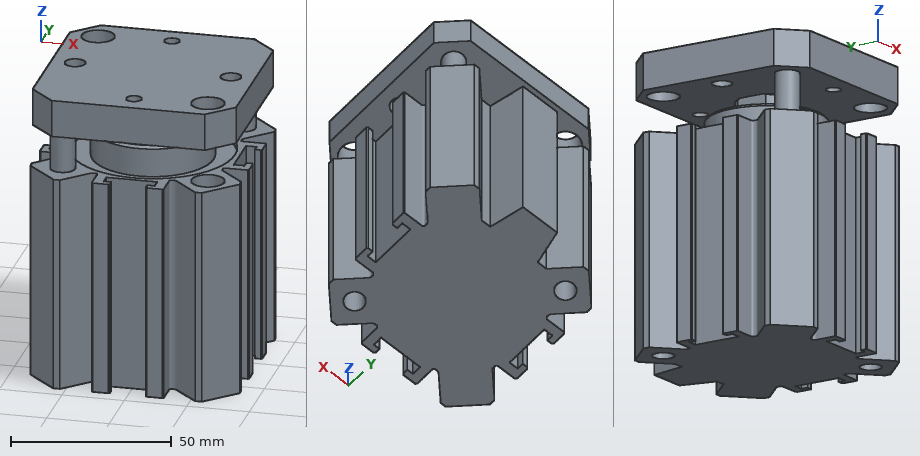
import cadquery as cq
import math

total_height = 96.0
housing_width = 67.0
housing_height = 70.0
half_width = housing_width / 2

housing_chamfer = 9.7
bar_width = 16.8
bar_offset = bar_width / math.sqrt(2)
groove_wall_x = 11.5
groove_floor_y = 25.3
groove_bar_radius = 1.3
groove_wall_radius = 0.8
slot_opening = 11.5
slot_inner_width = 16.2
slot_floor_y = 27.8
lip_thickness = 2.3
lip_chamfer = 0.4
overcut = 1.0

rail_top_y = 37.5
rail_top_width = 14.2
rail_base_width = 19.8

recess_diameter = 52.5
recess_depth = 2.0
collar_diameter = 39.0
collar_height = 8.1
collar_chamfer = 0.9
collar_top = housing_height + collar_height

corner_position = 23.2
bolt_hole_diameter = 7.0
bolt_head_diameter = 10.5
bolt_head_depth = 6.5
pin_diameter = 8.0
bolt_points = [(-corner_position, corner_position), (corner_position, -corner_position)]
pin_points = [(-corner_position, -corner_position), (corner_position, corner_position)]

plate_width = 65.2
plate_thickness = 12.0
plate_chamfer = 8.1
plate_bottom = total_height - plate_thickness
plate_hole_position = 25.0
large_hole_diameter = 6.5
small_hole_diameter = 4.9
rod_diameter = 20.0
rod_chamfer = 0.4
flat_width = 17.0
flat_height = 4.5


def chamfered_square(width, chamfer, bottom, height):
    """Square block with its four vertical edges chamfered."""
    block = cq.Workplane("XY", origin=(0, 0, bottom)).rect(width, width).extrude(height)
    return block.edges("|Z").chamfer(chamfer)


def cylinders(points, diameter, bottom, top):
    """Vertical cylinders of one diameter at the given points."""
    plane = cq.Workplane("XY", origin=(0, 0, bottom))
    return plane.pushPoints(points).circle(diameter / 2).extrude(top - bottom)


def side_groove():
    """Groove between a corner bar and a T-slot wall on the -Y side, with a rounded bottom."""
    mouth_y = -half_width - overcut
    groove = (
        cq.Workplane("XY")
        .moveTo(-groove_wall_x, mouth_y)
        .lineTo(mouth_y + bar_offset, mouth_y)
        .lineTo(bar_offset - groove_floor_y, -groove_floor_y)
        .lineTo(-groove_wall_x, -groove_floor_y)
        .close()
        .extrude(housing_height)
    )
    groove = groove.faces(">Y").edges("|Z").edges("<X").fillet(groove_bar_radius)
    return groove.faces(">Y").edges("|Z").edges(">X").fillet(groove_wall_radius)


def t_slot():
    """T-slot on the -Y side."""
    inner_depth = half_width - lip_thickness - slot_floor_y
    opening_depth = half_width + overcut - slot_floor_y
    inner = cq.Workplane("XY").center(0, -slot_floor_y - inner_depth / 2)
    opening = cq.Workplane("XY").center(0, -slot_floor_y - opening_depth / 2)
    return (
        inner.rect(slot_inner_width, inner_depth).extrude(housing_height)
        .union(opening.rect(slot_opening, opening_depth).extrude(housing_height))
    )


def lip_edge_cut(lip_edge_x):
    """Prism that chamfers one outer edge of a T-slot lip on the -Y side."""
    corners = [
        (lip_edge_x - lip_chamfer, -half_width),
        (lip_edge_x, -half_width + lip_chamfer),
        (lip_edge_x + lip_chamfer, -half_width),
    ]
    return cq.Workplane("XY").polyline(corners).close().extrude(housing_height)


def side_cutters():
    """Everything removed from the -Y side: T-slot, two grooves and lip chamfers."""
    half_cut = side_groove()
    for lip_edge_x in (-groove_wall_x, -slot_opening / 2):
        half_cut = half_cut.union(lip_edge_cut(lip_edge_x))
    return t_slot().union(half_cut).union(half_cut.mirror("YZ"))


def rail_clearance():
    """Space between the two corner bars on the +Y side."""
    mouth_y = half_width + overcut
    mouth_x = mouth_y - bar_offset
    floor_x = groove_floor_y - bar_offset
    corners = [(-mouth_x, mouth_y), (mouth_x, mouth_y), (floor_x, groove_floor_y), (-floor_x, groove_floor_y)]
    return cq.Workplane("XY").polyline(corners).close().extrude(housing_height)


def rail():
    """Tapered rail running the full height of the +Y side."""
    top_x = rail_top_width / 2
    base_x = rail_base_width / 2
    corners = [(-base_x, groove_floor_y), (base_x, groove_floor_y), (top_x, rail_top_y), (-top_x, rail_top_y)]
    return cq.Workplane("XY").polyline(corners).close().extrude(housing_height)


def make_housing():
    body = chamfered_square(housing_width, housing_chamfer, 0, housing_height)

    side_cut = side_cutters()
    for angle in (0, 90, -90):
        body = body.cut(side_cut.rotate((0, 0, 0), (0, 0, 1), angle))

    body = body.cut(rail_clearance()).union(rail())

    recess_floor = housing_height - recess_depth
    body = body.cut(cylinders([(0, 0)], recess_diameter, recess_floor, housing_height))
    collar = cylinders([(0, 0)], collar_diameter, recess_floor, collar_top)
    body = body.union(collar.faces(">Z").edges().chamfer(collar_chamfer))

    body = body.cut(cylinders(bolt_points, bolt_hole_diameter, 0, housing_height))
    head_floor = housing_height - bolt_head_depth
    return body.cut(cylinders(bolt_points, bolt_head_diameter, head_floor, housing_height))


def make_rod():
    """Piston rod with a chamfered end and two wrench flats facing -X and +X."""
    rod = cylinders([(0, 0)], rod_diameter, collar_top, plate_bottom)
    rod = rod.faces(">Z").edges().chamfer(rod_chamfer)
    flats_bottom = plate_bottom - flat_height
    flats = (
        cq.Workplane("XY", origin=(0, 0, flats_bottom))
        .rect(2 * rod_diameter, 2 * rod_diameter)
        .rect(flat_width, 2 * rod_diameter)
        .extrude(flat_height)
    )
    return rod.cut(flats)


def make_slide():
    """Plate with its access and mounting holes, carried by the rod and two guide pins."""
    plate = chamfered_square(plate_width, plate_chamfer, plate_bottom, plate_thickness)
    hole_sets = [
        (bolt_points, bolt_head_diameter),
        ([(-plate_hole_position, 0), (plate_hole_position, 0)], large_hole_diameter),
        ([(0, -plate_hole_position), (0, plate_hole_position)], small_hole_diameter),
    ]
    for points, diameter in hole_sets:
        plate = plate.cut(cylinders(points, diameter, plate_bottom, total_height))
    pins = cylinders(pin_points, pin_diameter, housing_height, plate_bottom)
    return plate.union(make_rod()).union(pins)


housing = make_housing()
slide = make_slide()
result = cq.Compound.makeCompound([housing.val(), slide.val()])